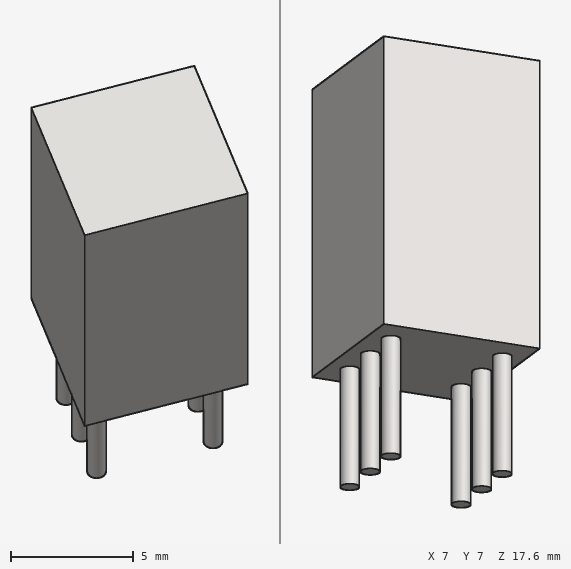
import cadquery as cq

total_height = 17.6
housing_width = 7.0
pin_length = 5.1
housing_height = total_height - pin_length

pin_diameter = 0.8
pins_per_row = 3
row_count = 2
pin_pitch = 2.0
row_spacing = 5.0


def make_housing():
    """Plain square block standing on the plane Z = 0."""
    return cq.Workplane("XY").box(
        housing_width, housing_width, housing_height, centered=(True, True, False)
    )


def make_pin(x, y):
    """Round pin hanging from the underside of the housing."""
    return cq.Workplane("XY").center(x, y).circle(pin_diameter / 2).extrude(-pin_length)


def centered_positions(count, spacing):
    """Evenly spaced positions, symmetric about zero."""
    return [(index - (count - 1) / 2) * spacing for index in range(count)]


housing = make_housing()

pins = []
for pin_y in centered_positions(row_count, row_spacing):
    for pin_x in centered_positions(pins_per_row, pin_pitch):
        pins.append(make_pin(pin_x, pin_y))

result = cq.Compound.makeCompound([housing.val(), *[pin.val() for pin in pins]])